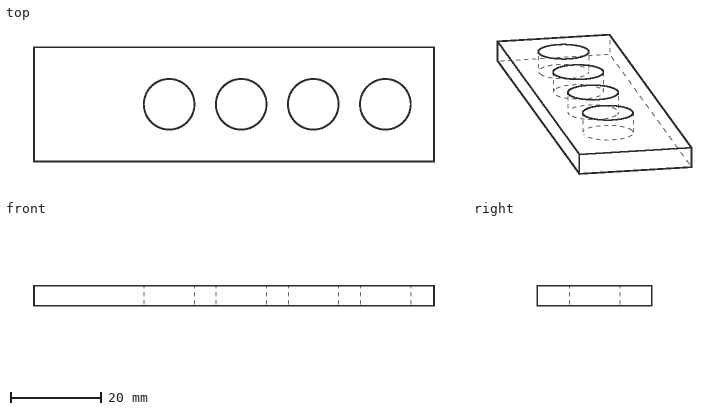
import cadquery as cq

length = 88.9
width = 25.4
thickness = 4.5

hole_diameter = 11.2
hole_count = 4
hole_pitch = 16.0
end_margin = 10.85

last_hole_x = length / 2 - end_margin
hole_centers = [(last_hole_x - i * hole_pitch, 0) for i in range(hole_count)]

plate = cq.Workplane("XY").box(length, width, thickness)

result = plate.faces(">Z").workplane().pushPoints(hole_centers).hole(hole_diameter)